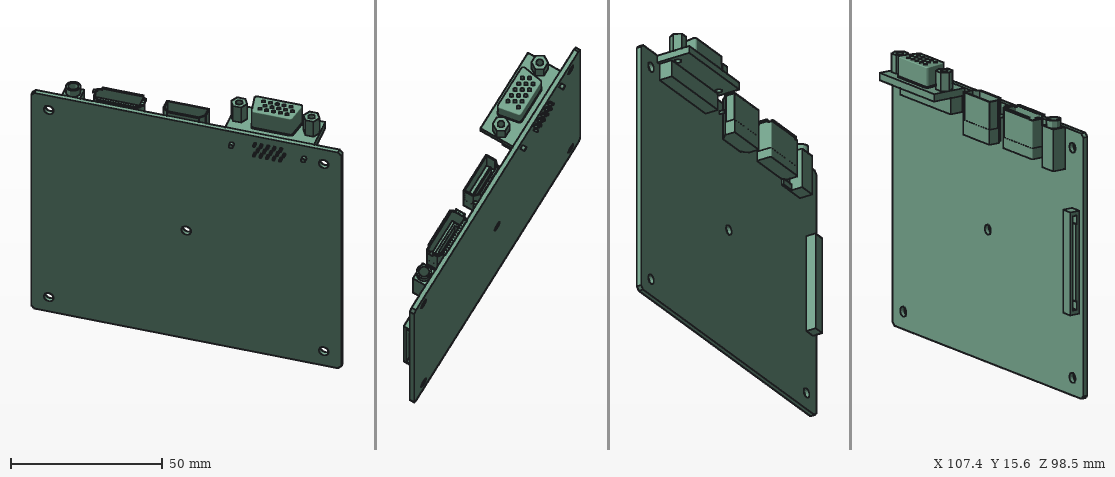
import cadquery as cq
import math


BOARD_WIDTH = 107.4
BOARD_HEIGHT = 91.4
BOARD_THICKNESS = 1.7
BOARD_CORNER_CHAMFER = 1.2
MOUNT_HOLE_DIAMETER = 3.3
MOUNT_HOLE_SPAN_X = 95.2
MOUNT_HOLE_SPAN_Z = 79.3

SOCKET_LEFT = -51.5
SOCKET_WIDTH = 4.1
SOCKET_HEIGHT = 3.7
SOCKET_BOTTOM = 29.1
SOCKET_LENGTH = 35.5
SLOT_DEPTH = 2.7
SLOT_END_MARGIN = 1.5
SLOT_KEY_LENGTH = 2.9
SLOT_TOP = 2.6
SLOT_WIDTH = 1.1
SLOT_KEY_WIDTH = 1.5

JACK_X = -40.4
JACK_WIDTH = 6.2
JACK_HEIGHT = 4.8
JACK_LENGTH = 14.4
JACK_NECK_LENGTH = 2.6
JACK_BORE_DIAMETER = 3.4
JACK_BORE_DEPTH = 12.9
JACK_TAB_WIDTH = 4.9
JACK_TAB_HEIGHT = 0.8
JACK_TAB_LENGTH = 2.1

SHELL_OVERHANG = 1.4
SHELL_WALL = 0.38
SHELL_CLEARANCE = 0.3
CAVITY_DEPTH = 9.7
TONGUE_RECESS = 4.3

DP_LEFT = -33.1
DP_WIDTH = 16.5
DP_HEIGHT = 5.6
DP_LENGTH = 13.3
DP_CHAMFER_X = 1.7
DP_CHAMFER_Y = 1.3
DP_CORNER_RADIUS = 0.5
DP_LIP_HEIGHT = 0.6
DP_TOP_LIP_REACH = 0.3
DP_BOTTOM_LIP_REACH = 0.8
DP_SIDE_LIP_REACH = 0.8
DP_LIP_MARGIN = 0.6
DP_LEFT_LIP_SPAN = (3.0, 4.4)
DP_RIGHT_LIP_SPAN = (1.2, 4.7)
DP_TONGUE_LEFT = -30.9
DP_TONGUE_WIDTH = 12.1
DP_TONGUE_TOP = 3.7
DP_TONGUE_DROP = 1.8
DP_TONGUE_THICKNESS = 0.8

HDMI_X = -1.7
HDMI_WIDTH = 14.7
HDMI_HEIGHT = 5.6
HDMI_LENGTH = 14.7
HDMI_CHAMFER = 1.8
HDMI_TONGUE_WIDTH = 11.2
HDMI_TONGUE_THICKNESS = 0.4
HDMI_TONGUE_TOP = 3.3
HDMI_POST_DIAMETER = 1.1
HDMI_POST_HEIGHT = 2.0
HDMI_POST_SPAN = 14.4
HDMI_POST_DEPTH = 4.3

VGA_X = 28.4
VGA_FLANGE_WIDTH = 30.7
VGA_FLANGE_HEIGHT = 12.5
VGA_FLANGE_THICKNESS = 2.6
VGA_AXIS_Y = VGA_FLANGE_HEIGHT / 2
VGA_BASE_WIDTH = 28.1
VGA_BASE_HEIGHT = 4.8
VGA_BASE_DEPTH = 8.6
SHROUD_LENGTH = 7.1
SHROUD_TOP_WIDTH = 17.0
SHROUD_HEIGHT = 8.4
SHROUD_SIDE_ANGLE = 10.0
SHROUD_CORNER_RADIUS = 1.0
SHROUD_EDGE_RADIUS = 0.3
SHROUD_FOOT_STEP = 0.16
SHROUD_FOOT_HEIGHT = 0.4
SCREW_SPAN = 25.0
HEX_FLATS = 4.8
HEX_LENGTH = 6.3
SCREW_HOLE_DIAMETER = 2.3
CONTACT_PITCH = 2.4
CONTACT_ROW_PITCH = 2.0
CONTACT_DIAMETER = 1.2
CONTACT_DEPTH = 4.3
CONTACTS_PER_ROW = 5
ROW_COUNT = 3
MIDDLE_ROW = 1
PIN_PITCH = 2.3
PIN_ROW_PITCH = 2.0
PIN_DIAMETER = 0.8
PIN_PROTRUSION = 1.4
PEG_DIAMETER = 1.5
LEAD_DEPTH = 5.2


def block(x0, x1, y0, y1, z0, z1):
    """Box between two opposite corners."""
    return cq.Workplane("XY").box(x1 - x0, y1 - y0, z1 - z0, centered=False).translate((x0, y0, z0))


def plane_at(z):
    """Horizontal work plane at height z, with local x and y along X and Y."""
    return cq.Workplane("XY", origin=(0, 0, z))


def rods_along_y(points, diameter, y0, y1):
    """Round rods parallel to Y at the given (x, z) points."""
    start = cq.Workplane("XZ", origin=(0, y1, 0))
    return start.pushPoints(points).circle(diameter / 2).extrude(y1 - y0)


def staggered_rows(pitch, row_pitch, middle):
    """Three rows of points whose middle row is shifted by half a pitch."""
    points = []
    for row in range(ROW_COUNT):
        shift = pitch / 2 if row == MIDDLE_ROW else 0
        for column in range(CONTACTS_PER_ROW):
            x = VGA_X + (column - (CONTACTS_PER_ROW - 1) / 2) * pitch + shift
            points.append((x, middle + (row - MIDDLE_ROW) * row_pitch))
    return points


def vga_leads(y0, y1):
    """Solder pins and locating pegs of the VGA socket between two Y positions."""
    lead_z = BOARD_HEIGHT - LEAD_DEPTH
    pins = rods_along_y(staggered_rows(PIN_PITCH, PIN_ROW_PITCH, lead_z), PIN_DIAMETER, y0, y1)
    peg_points = [(VGA_X + side * SCREW_SPAN / 2, lead_z) for side in (-1, 1)]
    pegs = rods_along_y(peg_points, PEG_DIAMETER, y0, y1)
    return pins.add(pegs)


def make_board():
    half_width = BOARD_WIDTH / 2
    board = block(-half_width, half_width, -BOARD_THICKNESS, 0, 0, BOARD_HEIGHT)
    board = board.edges("|Y").chamfer(BOARD_CORNER_CHAMFER)
    middle_z = BOARD_HEIGHT / 2
    holes = [(0, middle_z)]
    for side in (-1, 1):
        for end in (-1, 1):
            holes.append((side * MOUNT_HOLE_SPAN_X / 2, middle_z + end * MOUNT_HOLE_SPAN_Z / 2))
    board = board.cut(rods_along_y(holes, MOUNT_HOLE_DIAMETER, -BOARD_THICKNESS, 0))
    for lead in vga_leads(-BOARD_THICKNESS, 0).vals():
        board = board.cut(cq.Workplane(lead))
    return board


def make_card_socket():
    top = SOCKET_BOTTOM + SOCKET_LENGTH
    body = block(SOCKET_LEFT, SOCKET_LEFT + SOCKET_WIDTH, 0, SOCKET_HEIGHT, SOCKET_BOTTOM, top)
    slot_end = SOCKET_LEFT + SLOT_DEPTH
    slot_low = SOCKET_BOTTOM + SLOT_END_MARGIN
    slot_high = top - SLOT_END_MARGIN
    slot = block(SOCKET_LEFT, slot_end, SLOT_TOP - SLOT_WIDTH, SLOT_TOP, slot_low, slot_high)
    body = body.cut(slot)
    for key_low in (slot_low, slot_high - SLOT_KEY_LENGTH):
        key = block(SOCKET_LEFT, slot_end, SLOT_TOP - SLOT_KEY_WIDTH, SLOT_TOP,
                    key_low, key_low + SLOT_KEY_LENGTH)
        body = body.cut(key)
    return body


def make_audio_jack():
    right = JACK_X + JACK_WIDTH / 2
    bottom = BOARD_HEIGHT - JACK_LENGTH
    body = block(JACK_X - JACK_WIDTH / 2, right, 0, JACK_HEIGHT, bottom, BOARD_HEIGHT)
    axis_y = JACK_HEIGHT / 2
    neck = plane_at(BOARD_HEIGHT).center(JACK_X, axis_y).circle(JACK_HEIGHT / 2).extrude(JACK_NECK_LENGTH)
    tab = block(right, right + JACK_TAB_WIDTH, 0, JACK_TAB_HEIGHT, bottom, bottom + JACK_TAB_LENGTH)
    mouth = plane_at(BOARD_HEIGHT + JACK_NECK_LENGTH).center(JACK_X, axis_y)
    bore = mouth.circle(JACK_BORE_DIAMETER / 2).extrude(-JACK_BORE_DEPTH)
    return body.union(neck).union(tab).cut(bore)


def shell_cavity(shell):
    """Cavity that leaves a wall of even thickness around the mouth of a solid shell."""
    mouth = shell.faces(">Z").wires().toPending().offset2D(-SHELL_WALL)
    return mouth.extrude(-CAVITY_DEPTH, combine=False)


def displayport_lips(rim_z, mouth_z):
    """Lips standing on the DisplayPort rim, each bent outwards at its end."""
    bend_z = mouth_z - SHELL_WALL
    right = DP_LEFT + DP_WIDTH
    top = SHELL_CLEARANCE + DP_HEIGHT
    long_span = (DP_LEFT + DP_CHAMFER_X, right - DP_LIP_MARGIN)
    top_lip = (
        (*long_span, top - SHELL_WALL, top),
        (*long_span, top - SHELL_WALL, top + DP_TOP_LIP_REACH),
    )
    bottom_lip = (
        (*long_span, SHELL_CLEARANCE, SHELL_CLEARANCE + SHELL_WALL),
        (*long_span, SHELL_CLEARANCE - DP_BOTTOM_LIP_REACH, SHELL_CLEARANCE + SHELL_WALL),
    )
    left_lip = (
        (DP_LEFT, DP_LEFT + SHELL_WALL, *DP_LEFT_LIP_SPAN),
        (DP_LEFT - DP_SIDE_LIP_REACH, DP_LEFT + SHELL_WALL, *DP_LEFT_LIP_SPAN),
    )
    right_lip = (
        (right - SHELL_WALL, right, *DP_RIGHT_LIP_SPAN),
        (right - SHELL_WALL, right + DP_SIDE_LIP_REACH, *DP_RIGHT_LIP_SPAN),
    )
    lips = cq.Workplane("XY")
    for wall, bend in (top_lip, bottom_lip, left_lip, right_lip):
        lip = block(*wall, rim_z, mouth_z).union(block(*bend, bend_z, mouth_z))
        lips = lips.add(lip)
    return lips


def make_displayport():
    mouth_z = BOARD_HEIGHT + SHELL_OVERHANG
    rim_z = mouth_z - DP_LIP_HEIGHT
    right = DP_LEFT + DP_WIDTH
    top = SHELL_CLEARANCE + DP_HEIGHT
    outline = [
        (DP_LEFT + DP_CHAMFER_X, SHELL_CLEARANCE),
        (right, SHELL_CLEARANCE),
        (right, top),
        (DP_LEFT, top),
        (DP_LEFT, SHELL_CLEARANCE + DP_CHAMFER_Y),
    ]
    body = plane_at(rim_z).polyline(outline).close().extrude(-DP_LENGTH)
    rounded_edges = body.edges("|Z").edges(">X or (<X and >Y)")
    body = rounded_edges.fillet(DP_CORNER_RADIUS)
    body = body.cut(shell_cavity(body))

    tongue_low = rim_z - CAVITY_DEPTH
    tongue_high = rim_z - TONGUE_RECESS
    tongue_right = DP_TONGUE_LEFT + DP_TONGUE_WIDTH
    tongue_bottom = DP_TONGUE_TOP - DP_TONGUE_DROP
    tongue = block(DP_TONGUE_LEFT, tongue_right, tongue_bottom, DP_TONGUE_TOP, tongue_low, tongue_high)
    hollow = block(DP_TONGUE_LEFT + DP_TONGUE_THICKNESS, tongue_right - DP_TONGUE_THICKNESS,
                   tongue_bottom, DP_TONGUE_TOP - DP_TONGUE_THICKNESS, tongue_low, tongue_high)
    body = body.union(tongue.cut(hollow))
    return body.union(displayport_lips(rim_z, mouth_z).combine())


def make_hdmi():
    mouth_z = BOARD_HEIGHT + SHELL_OVERHANG
    left = HDMI_X - HDMI_WIDTH / 2
    right = HDMI_X + HDMI_WIDTH / 2
    top = SHELL_CLEARANCE + HDMI_HEIGHT
    outline = [
        (left + HDMI_CHAMFER, SHELL_CLEARANCE),
        (right - HDMI_CHAMFER, SHELL_CLEARANCE),
        (right, SHELL_CLEARANCE + HDMI_CHAMFER),
        (right, top),
        (left, top),
        (left, SHELL_CLEARANCE + HDMI_CHAMFER),
    ]
    body = plane_at(mouth_z).polyline(outline).close().extrude(-HDMI_LENGTH)
    cavity = shell_cavity(body)

    pad = block(left + HDMI_CHAMFER, right - HDMI_CHAMFER, 0, SHELL_CLEARANCE, mouth_z - HDMI_LENGTH, mouth_z)

    post_z = BOARD_HEIGHT - HDMI_POST_DEPTH
    post_points = [(HDMI_X + side * HDMI_POST_SPAN / 2, post_z) for side in (-1, 1)]
    posts = rods_along_y(post_points, HDMI_POST_DIAMETER, 0, HDMI_POST_HEIGHT)
    body = body.union(pad).union(posts).cut(cavity)

    half_tongue = HDMI_TONGUE_WIDTH / 2
    tongue = block(HDMI_X - half_tongue, HDMI_X + half_tongue,
                   HDMI_TONGUE_TOP - HDMI_TONGUE_THICKNESS, HDMI_TONGUE_TOP,
                   mouth_z - CAVITY_DEPTH, mouth_z - TONGUE_RECESS)
    return body.union(tongue)


def make_vga_shroud():
    half_top = SHROUD_TOP_WIDTH / 2
    half_bottom = half_top - SHROUD_HEIGHT * math.tan(math.radians(SHROUD_SIDE_ANGLE))
    low = VGA_AXIS_Y - SHROUD_HEIGHT / 2
    high = VGA_AXIS_Y + SHROUD_HEIGHT / 2
    outline = [
        (VGA_X - half_bottom, low),
        (VGA_X + half_bottom, low),
        (VGA_X + half_top, high),
        (VGA_X - half_top, high),
    ]
    shroud = plane_at(BOARD_HEIGHT).polyline(outline).close().extrude(SHROUD_LENGTH)
    shroud = shroud.edges("not(#Z)").fillet(SHROUD_CORNER_RADIUS)
    foot = shroud.faces("<Z").wires().toPending().offset2D(SHROUD_FOOT_STEP)
    foot = foot.extrude(SHROUD_FOOT_HEIGHT, combine=False)
    shroud = shroud.faces(">Z").edges().fillet(SHROUD_EDGE_RADIUS).union(foot)
    contacts = plane_at(BOARD_HEIGHT + SHROUD_LENGTH)
    contacts = contacts.pushPoints(staggered_rows(CONTACT_PITCH, CONTACT_ROW_PITCH, VGA_AXIS_Y))
    return shroud.cut(contacts.circle(CONTACT_DIAMETER / 2).extrude(-CONTACT_DEPTH))


def make_vga():
    left = VGA_X - VGA_FLANGE_WIDTH / 2
    right = VGA_X + VGA_FLANGE_WIDTH / 2
    body = block(left, right, 0, VGA_FLANGE_HEIGHT, BOARD_HEIGHT - VGA_FLANGE_THICKNESS, BOARD_HEIGHT)
    base = block(VGA_X - VGA_BASE_WIDTH / 2, VGA_X + VGA_BASE_WIDTH / 2, 0, VGA_BASE_HEIGHT,
                 BOARD_HEIGHT - VGA_BASE_DEPTH, BOARD_HEIGHT)
    body = body.union(base).union(make_vga_shroud())

    hex_corner_diameter = HEX_FLATS / math.cos(math.pi / 6)
    screw_points = [(VGA_X + side * SCREW_SPAN / 2, VGA_AXIS_Y) for side in (-1, 1)]
    screws = plane_at(BOARD_HEIGHT).pushPoints(screw_points)
    body = body.union(screws.polygon(6, hex_corner_diameter).extrude(HEX_LENGTH))
    holes = plane_at(BOARD_HEIGHT - VGA_FLANGE_THICKNESS).pushPoints(screw_points)
    body = body.cut(holes.circle(SCREW_HOLE_DIAMETER / 2).extrude(VGA_FLANGE_THICKNESS + HEX_LENGTH))
    for lead in vga_leads(-BOARD_THICKNESS - PIN_PROTRUSION, 0).vals():
        body = body.union(cq.Workplane(lead))
    return body


board = make_board()
card_socket = make_card_socket()
audio_jack = make_audio_jack()
displayport = make_displayport()
hdmi = make_hdmi()
vga = make_vga()

result = cq.Compound.makeCompound([
    board.val(),
    card_socket.val(),
    audio_jack.val(),
    displayport.val(),
    hdmi.val(),
    vga.val(),
])